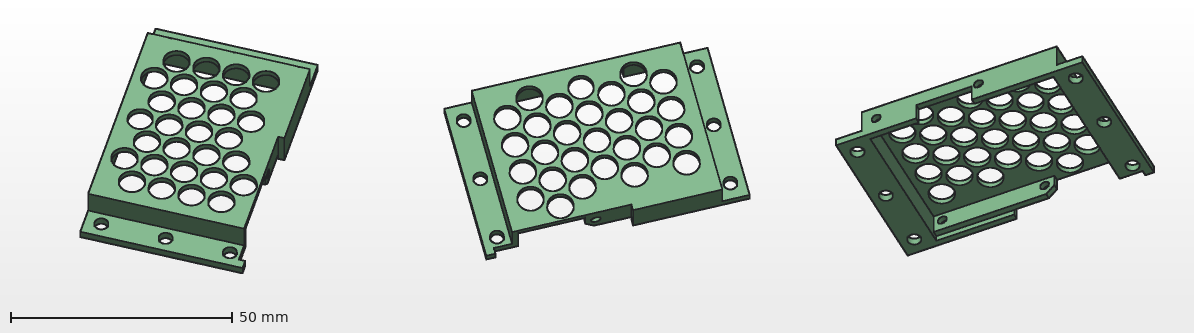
import cadquery as cq
import math

length = 61.5
width = 38.2
height = 8.0

cover_length = 48.7
flange_thickness = 1.95
wall = 1.5
roof = 1.5

screw_diameter = 3.2
screw_pitch_x = 15.1
screw_y = 27.25

vent_diameter = 6.0
small_vent_diameter = 5.8
small_vent_x = -13.8
small_vent_y = -0.2
vent_pitch = 7.0
row_pitch = vent_pitch * math.sqrt(3) / 2

block_inner_x = width / 2 - 2 * wall
block_front_y = -7.25
block_bottom_z = 1.5
block_chamfer = 2.0

notch_back_y = 3.5
notch_front_y = -28.6

opening_back_y = 10.75
opening_front_y = -3.15
opening_height = 4.3
side_hole_diameter = 2.2
side_hole_z = 4.4
side_hole_ys = (20.7, -4.8)


def box_between(x0, x1, y0, y1, z0, z1):
    """Axis-aligned box spanning the given limits."""
    return cq.Workplane("XY").box(x1 - x0, y1 - y0, z1 - z0, centered=False).translate((x0, y0, z0))


def vertical_holes(points, diameter):
    """Round cutters along Z, tall enough to pass through the whole part."""
    return cq.Workplane("XY").pushPoints(points).circle(diameter / 2).extrude(height)


def inner_block(back_x, back_y):
    """Block along the +X wall, hanging from the roof, with its lower front edge chamfered."""
    block = box_between(block_inner_x, back_x, block_front_y, back_y, block_bottom_z, height - roof)
    return block.faces("<Y").edges("<Z").chamfer(block_chamfer)


def shell():
    """Hollow cover, open underneath, standing on a flat base with two flanges."""
    inner_x = width / 2 - wall
    inner_y = cover_length / 2 - wall
    base = cq.Workplane("XY").box(width, length, flange_thickness, centered=(True, True, False))
    cover = cq.Workplane("XY").box(width, cover_length, height, centered=(True, True, False))
    cavity = box_between(-inner_x, inner_x, -inner_y, inner_y, 0, height - roof)
    return base.union(cover).cut(cavity).union(inner_block(inner_x, inner_y))


def edge_notch():
    """Full-height notch that removes the front stretch of the +X wall."""
    return box_between(width / 2 - wall, width / 2, notch_front_y, notch_back_y, 0, height)


def side_opening():
    """Opening in the lower part of the -X wall."""
    return box_between(-width / 2, wall - width / 2, opening_front_y, opening_back_y, 0, opening_height)


def side_holes():
    """Round holes along X, through the -X wall and the block."""
    return (
        cq.Workplane("YZ", origin=(-width / 2, 0, 0))
        .pushPoints([(y, side_hole_z) for y in side_hole_ys])
        .circle(side_hole_diameter / 2)
        .extrude(width - wall)
    )


def screw_holes():
    """Three holes in each flange."""
    points = [(column * screw_pitch_x, side * screw_y) for column in (-1, 0, 1) for side in (-1, 1)]
    return vertical_holes(points, screw_diameter)


def vents():
    """Seven staggered rows; the +X block leaves no room for some end vents."""
    columns_by_row = {
        -2: (-2, -1, 0, 1, 2),
        0: (-1, 0, 1),
        2: (-2, -1, 0, 1),
    }
    half_step_columns = (-1.5, -0.5, 0.5, 1.5)
    points = []
    for row in range(-3, 4):
        for column in columns_by_row.get(row, half_step_columns):
            points.append((column * vent_pitch, row * row_pitch))
    small_vent = vertical_holes([(small_vent_x, small_vent_y)], small_vent_diameter)
    return vertical_holes(points, vent_diameter).union(small_vent)


result = (
    shell()
    .cut(edge_notch())
    .cut(side_opening())
    .cut(side_holes())
    .cut(screw_holes())
    .cut(vents())
)